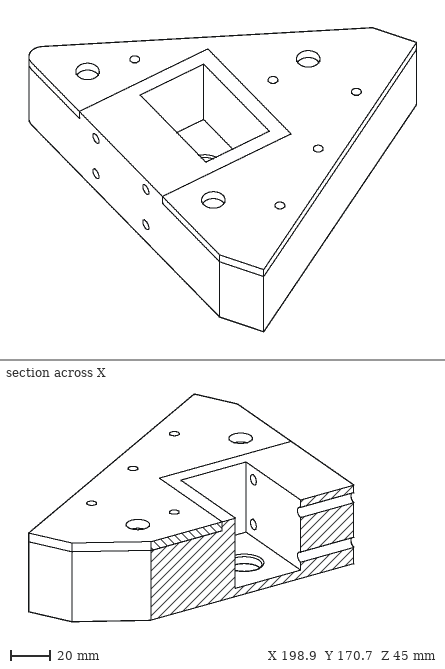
import cadquery as cq
import math

total_height = 45.0
plate_thickness = 5.0
corner_radius = 7.5
end_cut_length = 25.0
long_side = 182.71

corner_angle = 60
long_side_angle = 180 - corner_angle
inward_angle = long_side_angle + 90

base_height = total_height - plate_thickness
end_cut_side = end_cut_length / math.tan(math.radians(corner_angle))
triangle_side = long_side + 2 * end_cut_side

block_center_x = 93.65
block_width = 75.0
block_length_y = 80.0
pocket_width = 59.2
pocket_length_y = 39.5
pocket_center_y = 52.2
floor_thickness = 5.0
bore_diameter = 18.0
bore_mouth_diameter = 20.0
bore_chamfer = (bore_mouth_diameter - bore_diameter) / 2

through_hole_diameter = 12.0
through_hole_inset = 20.0
through_hole_spacing = 113.4

front_hole_diameter = 5.5
front_hole_spacing_x = 45.0
front_hole_spacing_z = 25.5
front_hole_middle_z = 25.0
front_wall_thickness = pocket_center_y - pocket_length_y / 2

plate_hole_diameter = 5.0
plate_hole_inset = 12.5
plate_hole_spacing = long_side / 4
left_plate_hole = (41.1, 44.9)
rear_plate_hole = (block_center_x, 94.65)


def along(angle, distance, start=(0.0, 0.0)):
    """Point at a distance from a start point, in a direction given in degrees from +X."""
    direction = math.radians(angle)
    return (start[0] + distance * math.cos(direction), start[1] + distance * math.sin(direction))


right_corner = (triangle_side, 0.0)
long_side_middle = along(long_side_angle, triangle_side / 2, right_corner)


def triangle_prism(bottom, height):
    """Triangle with two flat ends and one rounded corner, standing on Z = bottom."""
    cut_from_corner = end_cut_length / math.sin(math.radians(corner_angle))
    outline = [
        (0.0, 0.0),
        (triangle_side - cut_from_corner, 0.0),
        along(long_side_angle, end_cut_side, right_corner),
        along(long_side_angle, triangle_side - end_cut_side, right_corner),
        along(corner_angle, triangle_side - cut_from_corner),
    ]
    prism = cq.Workplane("XY").workplane(offset=bottom).polyline(outline).close().extrude(height)
    corner_edge = cq.selectors.NearestToPointSelector((0, 0, bottom + height / 2))
    return prism.edges(corner_edge).fillet(corner_radius)


def upright_box(width, length_y, center_y, bottom, height):
    """Box centred on the block in X."""
    sketch = cq.Workplane("XY").workplane(offset=bottom).center(block_center_x, center_y)
    return sketch.rect(width, length_y).extrude(height)


def raised_block():
    """Block on the base, level with the top of the cover plate."""
    return upright_box(block_width, block_length_y, block_length_y / 2, base_height, plate_thickness)


def upright_holes(points, diameter):
    """Cylinders over the full height, used as cutters."""
    return cq.Workplane("XY").pushPoints(points).circle(diameter / 2).extrude(total_height)


def through_holes():
    first = (through_hole_inset / math.tan(math.radians(corner_angle / 2)), through_hole_inset)
    points = [
        first,
        along(0, through_hole_spacing, first),
        along(corner_angle, through_hole_spacing, first),
    ]
    return upright_holes(points, through_hole_diameter)


def plate_holes():
    row_middle = along(inward_angle, plate_hole_inset, long_side_middle)
    row = [along(long_side_angle, step * plate_hole_spacing, row_middle) for step in (-1, 0, 1)]
    return upright_holes([*row, left_plate_hole, rear_plate_hole], plate_hole_diameter)


def bore():
    """Bore through the pocket floor, chamfered at the floor surface."""
    hole = upright_holes([(block_center_x, pocket_center_y)], bore_diameter)
    mouth = cq.Solid.makeCone(
        bore_diameter / 2,
        bore_mouth_diameter / 2,
        bore_chamfer,
        pnt=cq.Vector(block_center_x, pocket_center_y, floor_thickness - bore_chamfer),
    )
    return hole.union(cq.Workplane(mouth))


def front_holes():
    points = [
        (
            block_center_x + side * front_hole_spacing_x / 2,
            front_hole_middle_z + level * front_hole_spacing_z / 2,
        )
        for side in (-1, 1)
        for level in (-1, 1)
    ]
    sketch = cq.Workplane("XZ").pushPoints(points).circle(front_hole_diameter / 2)
    return sketch.extrude(-front_wall_thickness)


def make_base():
    body = triangle_prism(0, base_height).union(raised_block())
    pocket_height = total_height - floor_thickness
    pocket = upright_box(pocket_width, pocket_length_y, pocket_center_y, floor_thickness, pocket_height)
    return body.cut(pocket).cut(bore()).cut(through_holes()).cut(front_holes())


def make_cover_plate():
    """Plate that fits around the raised block, flush with its top."""
    plate = triangle_prism(base_height, plate_thickness)
    return plate.cut(raised_block()).cut(through_holes()).cut(plate_holes())


base = make_base()
cover_plate = make_cover_plate()

result = cq.Compound.makeCompound([base.val(), cover_plate.val()])